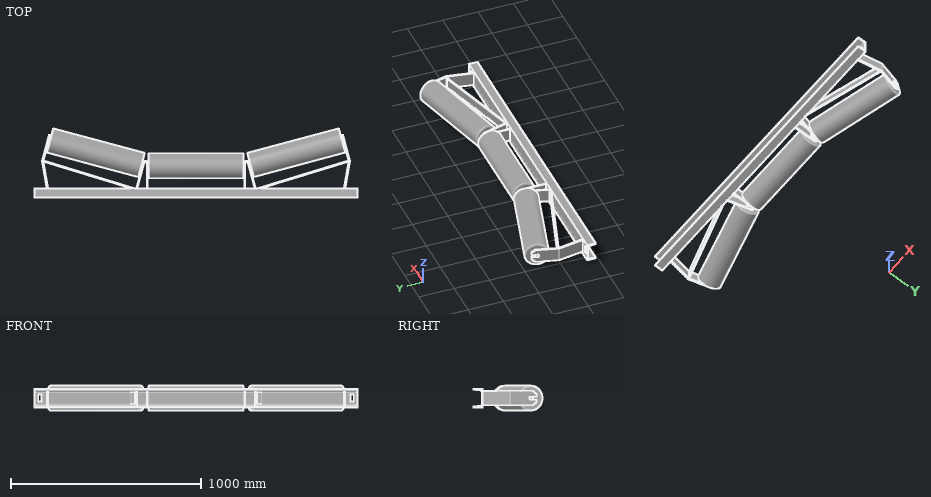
import cadquery as cq
import math


channel_length = 1700.0
channel_depth = 50.0
channel_height = 100.0
web_thickness = 5.0
flange_tip_thickness = 6.0
flange_root_thickness = 11.0
channel_root_radius = 8.0
slot_width = 15.0
slot_height = 35.0
slot_end_distance = 29.0

roller_diameter = 133.0
roller_length = 500.0
roller_edge_radius = 5.0
trough_angle = 15.0
center_roller_y = 168.0
wing_roller_x = 527.0
wing_roller_y = 236.0

shaft_diameter = 20.0
shaft_flat_width = 15.0

bracket_width = 76.0
bracket_gap = 4.2
inner_plate = 6.0
outer_plate = 8.0
inner_bend_radius = 6.0
outer_tip_rise = 29.0
outer_bend_drop = 115.0
outer_bend_radius = 12.0
outer_foot_x = 785.0
outer_corner_width = 15.0
outer_corner_drop = 20.0

strut_thickness = 6.0
strut_width = 60.0
strut_foot_x = 323.0
strut_head_drop = 110.0

roller_end = roller_length / 2
plate_offset = roller_end + bracket_gap
inner_shaft_reach = plate_offset + inner_plate
outer_shaft_reach = plate_offset + outer_plate
tilt_cos = math.cos(math.radians(trough_angle))
tilt_sin = math.sin(math.radians(trough_angle))


def wing_point(along, above):
    """XY point in the frame of the right wing roller: along its axis and square to it."""
    return (
        wing_roller_x + along * tilt_cos - above * tilt_sin,
        wing_roller_y + along * tilt_sin + above * tilt_cos,
    )


def point_at_height(start, end, y):
    """Point at height y on the straight line through two XY points."""
    share = (y - start[1]) / (end[1] - start[1])
    return (start[0] + share * (end[0] - start[0]), y)


def foot_point(along):
    """Point on the channel where a plate square to the wing roller axis would land."""
    return point_at_height(wing_point(along, 0), wing_point(along, 17), channel_depth)


def plate(points, width):
    """Prism with an XY outline, centered on Z = 0."""
    return cq.Workplane("XY", origin=(0, 0, -width / 2)).polyline(points).close().extrude(width)


def on_wing(body):
    """Move a body built around the X axis to the right wing roller position."""
    return body.rotate((0, 0, 0), (0, 0, 1), trough_angle).translate((wing_roller_x, wing_roller_y, 0))


def on_center(body):
    """Move a body built around the X axis to the center roller position."""
    return body.translate((0, center_roller_y, 0))


def mirrored(body):
    return body.mirror("YZ")


outer_outside_bend = wing_point(outer_shaft_reach, -outer_bend_drop)
outer_far_foot = (outer_foot_x, channel_depth)
leg_lean = math.degrees(
    math.atan2(outer_outside_bend[0] - outer_foot_x, outer_outside_bend[1] - channel_depth))
bend_half_angle = math.radians((leg_lean + trough_angle) / 2)
outer_inside_bend = wing_point(plate_offset, outer_plate * math.tan(bend_half_angle) - outer_bend_drop)
outer_near_foot = (outer_foot_x - outer_plate / math.cos(math.radians(leg_lean)), channel_depth)


def make_channel():
    half = channel_height / 2
    profile = [
        (0, half),
        (0, half - flange_tip_thickness),
        (channel_depth - web_thickness, half - flange_root_thickness),
        (channel_depth - web_thickness, flange_root_thickness - half),
        (0, flange_tip_thickness - half),
        (0, -half),
        (channel_depth, -half),
        (channel_depth, half),
    ]
    left_end = cq.Workplane("YZ", origin=(-channel_length / 2, 0, 0))
    body = left_end.polyline(profile).close().extrude(channel_length)
    root_y = channel_depth - web_thickness
    root_z = half - flange_root_thickness
    for side in (1, -1):
        root = cq.selectors.NearestToPointSelector((0, root_y, side * root_z))
        body = body.edges("|X").edges(root).fillet(channel_root_radius)
    slot_x = channel_length / 2 - slot_end_distance
    slots = (
        cq.Workplane("XZ")
        .pushPoints([(-slot_x, 0), (slot_x, 0)])
        .rect(slot_width, slot_height)
        .extrude(-channel_depth)
    )
    return body.cut(slots)


def make_shaft(left_reach, right_reach):
    """Shaft along X with two flats, facing +Z and -Z."""
    length = left_reach + right_reach
    left_end = cq.Workplane("YZ", origin=(-left_reach, 0, 0))
    bar = left_end.circle(shaft_diameter / 2).extrude(length)
    flats = left_end.rect(shaft_diameter, shaft_flat_width).extrude(length)
    return bar.intersect(flats)


def make_center_shaft():
    return make_shaft(inner_shaft_reach, inner_shaft_reach)


def make_wing_shaft():
    return make_shaft(inner_shaft_reach, outer_shaft_reach)


def make_roller(shaft):
    """Roller along X, with its shaft ends reaching through the brackets."""
    left_end = cq.Workplane("YZ", origin=(-roller_end, 0, 0))
    shell = left_end.circle(roller_diameter / 2).extrude(roller_length)
    shell = shell.edges().fillet(roller_edge_radius)
    return shell.union(shaft)


def make_inner_bracket():
    """Inverted U: an upright leg by the center roller, a tilted leg by the wing roller."""
    upright_far_x = plate_offset + inner_plate
    tilted_near_foot = foot_point(-plate_offset)
    tilted_far_foot = foot_point(-inner_shaft_reach)

    bend_x = upright_far_x + inner_bend_radius
    bend_y = channel_depth + ((tilted_far_foot[0] - bend_x) * tilt_cos - inner_bend_radius) / tilt_sin
    far_bend_radius = inner_bend_radius + inner_plate
    bend_start = 180
    bend_end = trough_angle
    bend_middle = (bend_start + bend_end) / 2

    def on_bend(radius, angle):
        turn = math.radians(angle)
        return (bend_x + radius * math.cos(turn), bend_y + radius * math.sin(turn))

    body = (
        cq.Workplane("XY", origin=(0, 0, -bracket_width / 2))
        .moveTo(plate_offset, channel_depth)
        .lineTo(*on_bend(far_bend_radius, bend_start))
        .threePointArc(on_bend(far_bend_radius, bend_middle), on_bend(far_bend_radius, bend_end))
        .lineTo(*tilted_near_foot)
        .lineTo(*tilted_far_foot)
        .lineTo(*on_bend(inner_bend_radius, bend_end))
        .threePointArc(on_bend(inner_bend_radius, bend_middle), on_bend(inner_bend_radius, bend_start))
        .lineTo(upright_far_x, channel_depth)
        .close()
        .extrude(bracket_width)
    )

    slot_far_x = tilted_near_foot[0]
    slot_top = bend_y + far_bend_radius
    slot = plate(
        [
            (plate_offset, center_roller_y),
            (slot_far_x, center_roller_y),
            (slot_far_x, slot_top),
            (plate_offset, slot_top),
        ],
        shaft_flat_width,
    )
    return body.cut(slot).cut(on_center(make_center_shaft())).cut(on_wing(make_wing_shaft()))


def make_outer_bracket():
    """Bent plate: a leg leaning outwards from the channel, then a plate square to the wing roller."""
    body = plate(
        [
            outer_far_foot,
            outer_outside_bend,
            wing_point(outer_shaft_reach, outer_tip_rise),
            wing_point(plate_offset, outer_tip_rise),
            outer_inside_bend,
            outer_near_foot,
        ],
        bracket_width,
    )
    for corner_point, radius in (
        (outer_outside_bend, outer_bend_radius),
        (outer_inside_bend, outer_bend_radius - outer_plate),
    ):
        bend_edge = cq.selectors.NearestToPointSelector((*corner_point, 0))
        body = body.edges("|Z").edges(bend_edge).fillet(radius)

    corner_z = bracket_width / 2
    for side in (1, -1):
        corner = (
            cq.Workplane("YZ", origin=(plate_offset, 0, 0))
            .moveTo(outer_tip_rise, side * corner_z)
            .lineTo(outer_tip_rise - outer_corner_drop, side * corner_z)
            .lineTo(outer_tip_rise, side * (corner_z - outer_corner_width))
            .close()
            .extrude(outer_plate)
        )
        body = body.cut(on_wing(corner))
    slot = (
        cq.Workplane("YZ", origin=(plate_offset, 0, 0))
        .center(outer_tip_rise / 2, 0)
        .rect(outer_tip_rise, shaft_flat_width)
        .extrude(outer_plate)
    )
    return body.cut(on_wing(slot)).cut(on_wing(make_wing_shaft()))


def make_strut(bracket):
    """Sloping brace from the channel up to the outer bracket, just above its bend."""
    head = wing_point(plate_offset, -strut_head_drop)
    slope = math.atan2(head[1] - channel_depth, head[0] - strut_foot_x)
    foot_length = strut_thickness / math.sin(slope)
    end_x = head[0] + outer_plate / 2 * math.cos(slope)
    end_y = head[1] + outer_plate / 2 * math.sin(slope)
    bar = plate(
        [
            (strut_foot_x, channel_depth),
            (strut_foot_x + foot_length, channel_depth),
            (end_x + strut_thickness * math.sin(slope), end_y - strut_thickness * math.cos(slope)),
            (end_x, end_y),
        ],
        strut_width,
    )
    return bar.cut(bracket)


channel = make_channel()
center_roller = on_center(make_roller(make_center_shaft()))
wing_roller = on_wing(make_roller(make_wing_shaft()))
inner_bracket = make_inner_bracket()
outer_bracket = make_outer_bracket()
strut = make_strut(outer_bracket)

bodies = [channel.val(), center_roller.val()]
for right_body in (wing_roller, inner_bracket, outer_bracket, strut):
    bodies.append(right_body.val())
    bodies.append(mirrored(right_body).val())

result = cq.Compound.makeCompound(bodies)